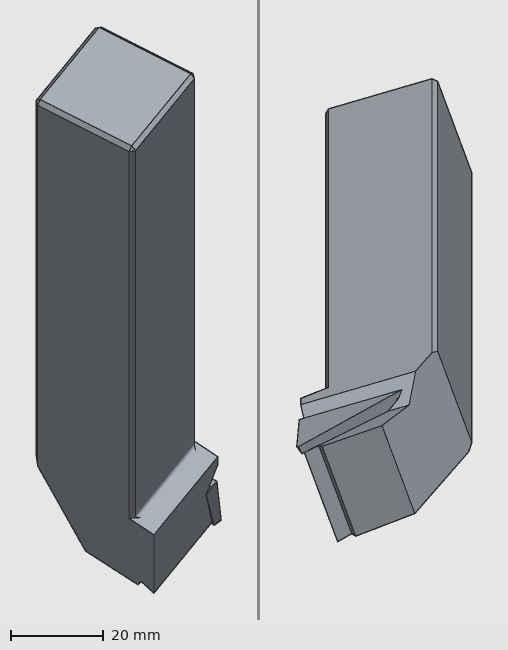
import cadquery as cq
import math

LENGTH = 152.4
SHANK = 25.5
CHAMFER = 0.99

HEAD_RIGHT = 30.8
BACK_ANGLE = 30.0
BACK_TOP = 27.1
BACK_FOOT = 13.3
UNDERSIDE_END = (26.7, 1.7)
NOTCH_PEAK = (27.6, 3.4)
NOSE_BOTTOM = 1.5
LEDGE_INNER = 23.3
LEDGE_OUTER = 22.0
LEDGE_FILLET = 0.9

POCKET_TOP = 19.0
POCKET_CORNER = (20.7, 13.7)
SEAT_END = (22.5, 4.4)
SEAT_SLOPE = (SEAT_END[0] - POCKET_CORNER[0]) / (SEAT_END[1] - POCKET_CORNER[1])
SEAT_AT_ZERO = SEAT_END[0] - SEAT_SLOPE * SEAT_END[1]

INSERT_RIGHT = 31.7
INSERT_SIDE = 16.0
END_ANGLE = 35.0
TIP_FLAT = 0.5
INSERT_DEPTH = 4.5
RELIEF_ANGLE = 14.0
RAKE_ANGLE = 6.3


def back_height(x):
    """Height of the sloping back relief at a given X."""
    return BACK_TOP - x / math.tan(math.radians(BACK_ANGLE))


def yz_prism(points):
    """Prism along X, covering the full width of head and insert."""
    return cq.Workplane("YZ").polyline(points).close().extrude(INSERT_RIGHT)


def make_shank():
    shank = cq.Workplane("XY").box(SHANK, SHANK, LENGTH, centered=False)
    shank = shank.edges("|Z or >Z").chamfer(CHAMFER)
    below_relief = (
        cq.Workplane("XZ")
        .polyline([
            (0, 0),
            (0, BACK_TOP),
            (BACK_FOOT, back_height(BACK_FOOT)),
            (SHANK, back_height(BACK_FOOT)),
            (SHANK, 0),
        ])
        .close()
        .extrude(-SHANK)
    )
    return shank.cut(below_relief)


def make_head():
    outline = [
        (CHAMFER, back_height(CHAMFER)),
        (BACK_FOOT, back_height(BACK_FOOT)),
        UNDERSIDE_END,
        NOTCH_PEAK,
        (HEAD_RIGHT, NOSE_BOTTOM),
        (HEAD_RIGHT, LEDGE_OUTER),
        (SHANK - CHAMFER, LEDGE_INNER),
    ]
    return cq.Workplane("XZ").polyline(outline).close().extrude(-SHANK)


def make_pocket():
    return yz_prism([
        (SHANK, POCKET_TOP),
        POCKET_CORNER,
        (SEAT_AT_ZERO, 0),
        (SHANK, 0),
    ])


def make_holder():
    holder = make_shank().union(make_head())
    ledge_corner = cq.selectors.BoxSelector(
        (SHANK - CHAMFER / 2, SHANK / 4, LEDGE_OUTER),
        (SHANK + CHAMFER / 2, SHANK * 3 / 4, LEDGE_INNER + CHAMFER),
    )
    holder = holder.edges("|Y").edges(ledge_corner).fillet(LEDGE_FILLET)
    return holder.cut(make_pocket())


def make_insert():
    tip_x = INSERT_RIGHT - TIP_FLAT
    left = tip_x - INSERT_SIDE / math.tan(math.radians(END_ANGLE))
    rake_plane = cq.Plane(origin=(0, SHANK, 0), xDir=(1, 0, 0), normal=(0, -1, 0))
    rake_plane = rake_plane.rotated((RAKE_ANGLE, 0, 0))
    blank = (
        cq.Workplane(rake_plane)
        .polyline([
            (tip_x, 0),
            (INSERT_RIGHT, TIP_FLAT),
            (INSERT_RIGHT, INSERT_SIDE),
            (left, INSERT_SIDE),
        ])
        .close()
        .extrude(INSERT_DEPTH, taper=RELIEF_ANGLE)
    )
    return blank.intersect(make_pocket())


holder = make_holder()
insert = make_insert()
result = cq.Compound.makeCompound([holder.val(), insert.val()])